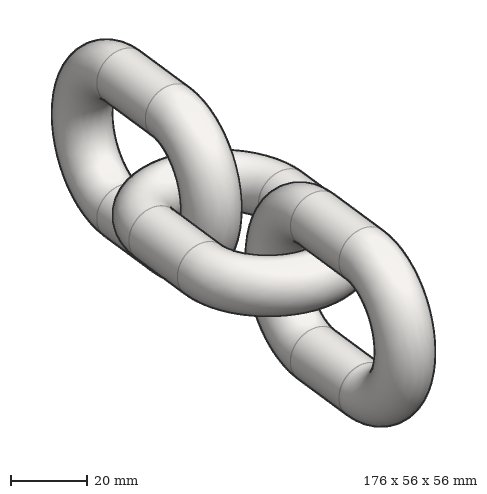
import cadquery as cq

chain_length = 176.0
link_width = 56.0
wire_diameter = 16.0
link_count = 3

link_overlap = 2 * wire_diameter
link_length = (chain_length + (link_count - 1) * link_overlap) / link_count
link_pitch = link_length - link_overlap
half_straight = (link_length - link_width) / 2
bend_radius = (link_width - wire_diameter) / 2


def make_link(center_x, roll_angle):
    """Round-wire link, flat in XZ, then rolled about the chain's X axis."""
    centreline = (
        cq.Workplane("XZ")
        .moveTo(-half_straight, bend_radius)
        .lineTo(half_straight, bend_radius)
        .threePointArc((half_straight + bend_radius, 0), (half_straight, -bend_radius))
        .lineTo(-half_straight, -bend_radius)
        .threePointArc((-half_straight - bend_radius, 0), (-half_straight, bend_radius))
        .close()
    )
    link = (
        cq.Workplane("YZ", origin=(-half_straight, 0, bend_radius))
        .circle(wire_diameter / 2)
        .sweep(centreline)
    )
    return link.rotate((0, 0, 0), (1, 0, 0), roll_angle).translate((center_x, 0, 0))


links = []
for index in range(link_count):
    link_center_x = (index - (link_count - 1) / 2) * link_pitch
    quarter_turn = 90 * (index % 2)
    links.append(make_link(link_center_x, quarter_turn).val())

result = cq.Compound.makeCompound(links)